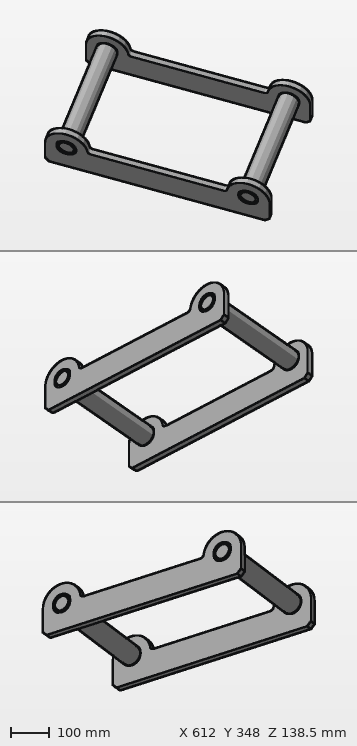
import cadquery as cq
import math

LENGTH = 612.0
WIDTH = 348.0
HEIGHT = 138.5

PLATE_THICKNESS = 18.5
EAR_RADIUS = 58.0
FILLET_RADIUS = 10.0
CORNER_CHAMFER = 11.5
AXIS_HEIGHT = HEIGHT - EAR_RADIUS
AXIS_X = LENGTH / 2 - EAR_RADIUS

BAR_RADIUS = 29.0
JOURNAL_RADIUS = 27.0
JOURNAL_CHAMFER = 6.0

INNER_WIDTH = WIDTH - 2 * PLATE_THICKNESS


def make_side_plate(front_y):
    """Plate with a round ear and a journal hole at each end; front_y is its -Y face."""
    center_distance = EAR_RADIUS + FILLET_RADIUS
    fillet_offset = math.sqrt(center_distance**2 - FILLET_RADIUS**2)
    fillet_x = AXIS_X - fillet_offset
    fillet_z = AXIS_HEIGHT + FILLET_RADIUS
    ear_share = EAR_RADIUS / center_distance
    tangent_x = AXIS_X - fillet_offset * ear_share
    tangent_z = AXIS_HEIGHT + FILLET_RADIUS * ear_share
    half_sweep = math.acos(FILLET_RADIUS / center_distance) / 2
    fillet_mid_x = fillet_x + FILLET_RADIUS * math.sin(half_sweep)
    fillet_mid_z = fillet_z - FILLET_RADIUS * math.cos(half_sweep)

    outline = (
        cq.Workplane("XZ", origin=(0, front_y, 0))
        .moveTo(-LENGTH / 2, 0)
        .lineTo(LENGTH / 2, 0)
        .lineTo(LENGTH / 2, AXIS_HEIGHT)
        .threePointArc((AXIS_X, HEIGHT), (tangent_x, tangent_z))
        .threePointArc((fillet_mid_x, fillet_mid_z), (fillet_x, AXIS_HEIGHT))
        .lineTo(-fillet_x, AXIS_HEIGHT)
        .threePointArc((-fillet_mid_x, fillet_mid_z), (-tangent_x, tangent_z))
        .threePointArc((-AXIS_X, HEIGHT), (-LENGTH / 2, AXIS_HEIGHT))
        .close()
    )
    plate = outline.extrude(-PLATE_THICKNESS)
    plate = plate.faces("<Z").edges("|Y").chamfer(CORNER_CHAMFER)
    holes = (
        cq.Workplane("XZ", origin=(0, front_y, 0))
        .pushPoints([(-AXIS_X, AXIS_HEIGHT), (AXIS_X, AXIS_HEIGHT)])
        .circle(JOURNAL_RADIUS)
        .extrude(-PLATE_THICKNESS)
    )
    return plate.cut(holes)


def make_cross_bar(x):
    """Bar whose chamfered journals end flush with the outer plate faces."""
    journals = (
        cq.Workplane("XZ", origin=(x, -WIDTH / 2, AXIS_HEIGHT))
        .circle(JOURNAL_RADIUS)
        .extrude(-WIDTH)
        .faces("<Y or >Y")
        .chamfer(JOURNAL_CHAMFER)
    )
    shaft = (
        cq.Workplane("XZ", origin=(x, -INNER_WIDTH / 2, AXIS_HEIGHT))
        .circle(BAR_RADIUS)
        .extrude(-INNER_WIDTH)
    )
    return journals.union(shaft)


side_plates = [make_side_plate(y).val() for y in (-WIDTH / 2, INNER_WIDTH / 2)]
cross_bars = [make_cross_bar(x).val() for x in (-AXIS_X, AXIS_X)]

result = cq.Compound.makeCompound([*side_plates, *cross_bars])